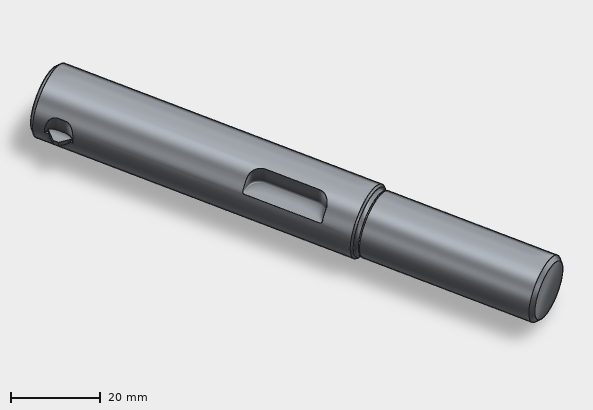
import cadquery as cq
import math

total_length = 125.0
body_length = 80.5
body_diameter = 17.8
body_radius = body_diameter / 2
shank_diameter = 16.0
front_chamfer = 1.0
shoulder_chamfer = 0.5
shank_chamfer = 1.0

groove_diameter = 15.6
groove_width = 1.4
groove_fillet = 0.4
groove_exit_run = 0.4
groove_end = body_length + groove_width

corner_radius = 3.2

slot_center = 62.6
slot_length = 19.8
slot_back = -2.9
slot_floor = 3.8
slot_floor_fillet = 0.5

notch_center = 7.5
blade_center = 7.6
notch_length = 8.4
notch_back = -7.5
notch_floor = 0.0

overall_depth = 19.5
blade_reach = overall_depth - body_radius
blade_root = -6.2
blade_tip_width = 1.4
blade_flank_run = 3.0
blade_flank_depth = 3.0
blade_thickness = 1.2


def make_bar():
    """Revolved body, relief groove with a rounded start and a sloped exit, and shank."""
    shank_radius = shank_diameter / 2
    groove_radius = groove_diameter / 2
    arc_offset = groove_fillet * (1 - math.sqrt(0.5))
    profile = (
        cq.Workplane("XY")
        .moveTo(0, 0)
        .lineTo(0, body_radius - front_chamfer)
        .lineTo(front_chamfer, body_radius)
        .lineTo(body_length - shoulder_chamfer, body_radius)
        .lineTo(body_length, body_radius - shoulder_chamfer)
        .lineTo(body_length, groove_radius + groove_fillet)
        .threePointArc(
            (body_length + arc_offset, groove_radius + arc_offset),
            (body_length + groove_fillet, groove_radius),
        )
        .lineTo(groove_end - groove_exit_run, groove_radius)
        .lineTo(groove_end, shank_radius)
        .lineTo(total_length - shank_chamfer, shank_radius)
        .lineTo(total_length, shank_radius - shank_chamfer)
        .lineTo(total_length, 0)
        .close()
    )
    return profile.revolve(360, (0, 0, 0), (1, 0, 0))


def open_pocket(center, length, back, floor):
    """Pocket open toward -Y and +Z, with rounded vertical corners at its back wall."""
    depth = body_diameter
    return (
        cq.Workplane("XY", origin=(center, back - depth / 2, floor))
        .rect(length, depth)
        .extrude(body_diameter)
        .edges("|Z and >Y")
        .fillet(corner_radius)
    )


def make_blade():
    tip = blade_tip_width / 2
    base = tip + blade_flank_run
    shoulder = blade_flank_depth - blade_reach
    return (
        cq.Workplane("XY", origin=(blade_center, 0, -blade_thickness / 2))
        .polyline([
            (-base, blade_root),
            (-base, shoulder),
            (-tip, -blade_reach),
            (tip, -blade_reach),
            (base, shoulder),
            (base, blade_root),
        ])
        .close()
        .extrude(blade_thickness)
    )


slot = open_pocket(slot_center, slot_length, slot_back, slot_floor)
slot = slot.faces("<Z").edges("not <Y").fillet(slot_floor_fillet)
notch = open_pocket(notch_center, notch_length, notch_back, notch_floor)

result = make_bar().cut(slot).cut(notch).union(make_blade())